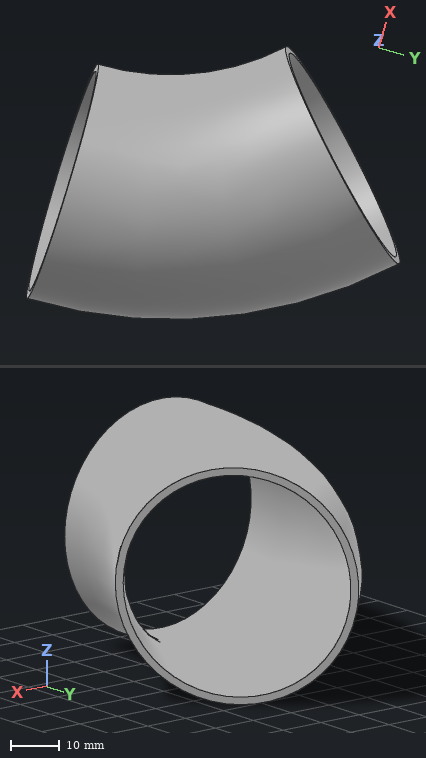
import cadquery as cq
import math

overall_length = 71.85
bend_angle = 45.0
bend_to_diameter = 1.5
wall = 1.65

outside_bend_radius = overall_length / math.sin(math.radians(bend_angle))
outer_diameter = outside_bend_radius / (bend_to_diameter + 0.5)
bend_radius = bend_to_diameter * outer_diameter
outer_radius = outer_diameter / 2
inner_radius = outer_radius - wall

wall_section = cq.Workplane("XZ").circle(outer_radius).circle(inner_radius)
result = wall_section.revolve(bend_angle, (bend_radius, 0, 0), (bend_radius, -1, 0))